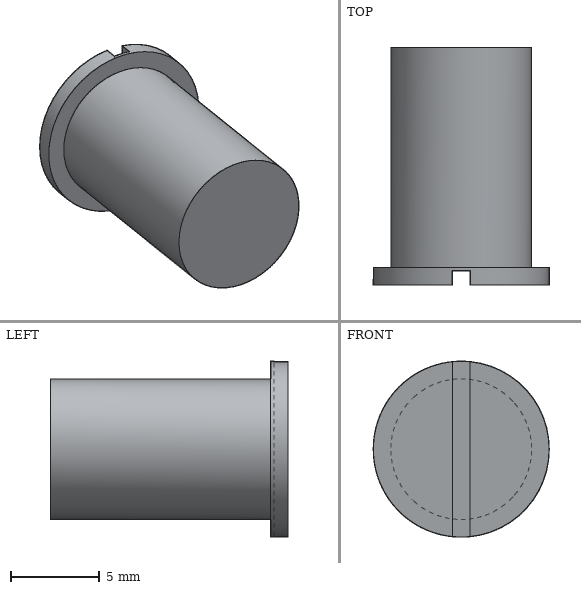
import cadquery as cq

head_diameter = 10.0
head_thickness = 1.0
shank_diameter = 8.0
total_length = 13.5
slot_width = 1.0
slot_depth = 0.8

shank_length = total_length - head_thickness


def cylinder_along_y(diameter, start_y, length):
    """Solid cylinder centred on the Y axis, from start_y toward +Y."""
    base_plane = cq.Workplane("XZ", origin=(0, start_y, 0))
    return base_plane.circle(diameter / 2).extrude(-length)


def driver_slot():
    """Cutter for the straight slot across the outer head face, parallel to Z."""
    return cq.Workplane("XY").box(
        slot_width, slot_depth, head_diameter, centered=(True, False, True)
    )


head = cylinder_along_y(head_diameter, 0, head_thickness)
shank = cylinder_along_y(shank_diameter, head_thickness, shank_length)

result = head.union(shank).cut(driver_slot())